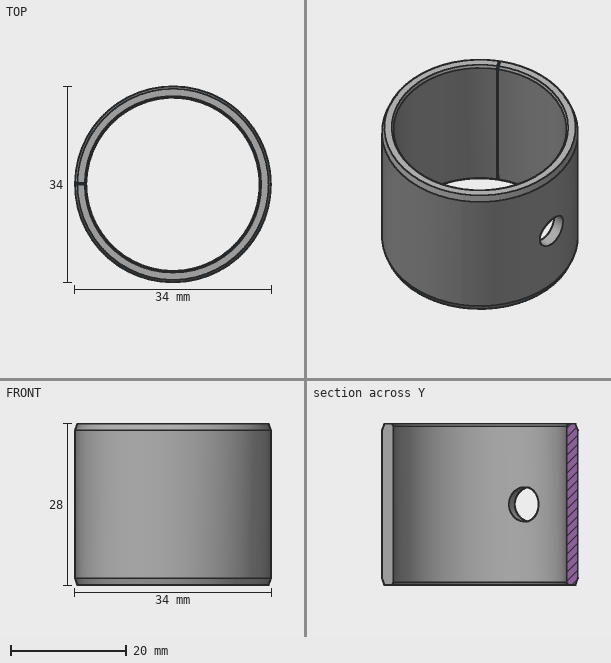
import cadquery as cq
import math

outer_diameter = 34.0
bore_diameter = 30.0
length = 28.0

outer_chamfer_length = 1.2
outer_chamfer_angle = 20.0
inner_chamfer_length = 0.48
inner_chamfer_depth = 0.3

split_width = 0.27

oil_hole_diameter = 6.0
oil_hole_angle = 59.0

outer_radius = outer_diameter / 2
bore_radius = bore_diameter / 2
half_length = length / 2
outer_chamfer_depth = outer_chamfer_length * math.tan(math.radians(outer_chamfer_angle))


def make_sleeve():
    """Revolve the chamfered wall section about Z."""
    end_outer_radius = outer_radius - outer_chamfer_depth
    end_bore_radius = bore_radius + inner_chamfer_depth
    outer_shoulder = half_length - outer_chamfer_length
    inner_shoulder = half_length - inner_chamfer_length
    section = [
        (end_bore_radius, -half_length),
        (end_outer_radius, -half_length),
        (outer_radius, -outer_shoulder),
        (outer_radius, outer_shoulder),
        (end_outer_radius, half_length),
        (end_bore_radius, half_length),
        (bore_radius, inner_shoulder),
        (bore_radius, -inner_shoulder),
    ]
    return cq.Workplane("XZ").polyline(section).close().revolve(360, (0, 0), (0, 1))


def make_split():
    """Thin slab, one face on the XZ plane, that opens the wall along its full length."""
    slab = cq.Workplane("XY").box(outer_radius, split_width, length)
    return slab.translate((-outer_radius, split_width / 2, 0))


def make_oil_hole():
    """Cylinder from the axis outwards through one side of the wall."""
    drill = cq.Workplane("YZ").circle(oil_hole_diameter / 2).extrude(outer_diameter)
    return drill.rotate((0, 0, 0), (0, 0, 1), oil_hole_angle)


result = make_sleeve().cut(make_split()).cut(make_oil_hole())